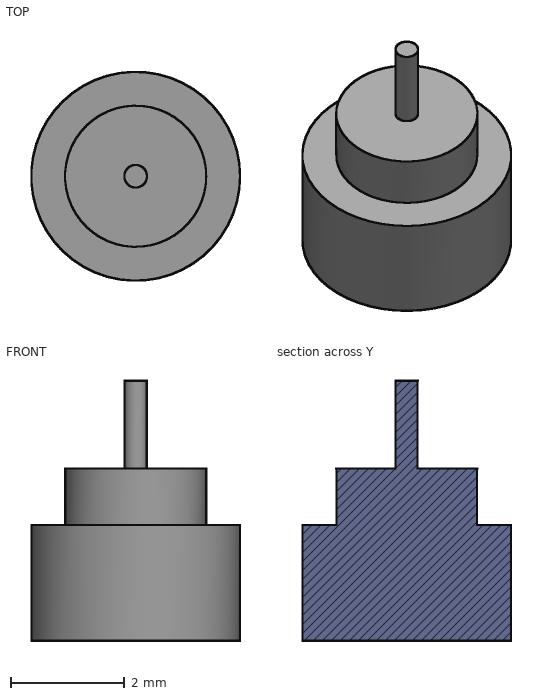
import cadquery as cq

total_height = 4.6
base_diameter = 3.7
base_height = 2.05
collar_diameter = 2.5
collar_height = 1.0
insert_diameter = 1.95
pin_diameter = 0.4

collar_top = base_height + collar_height


def cylinder(diameter, bottom, top):
    """Upright cylinder on the Z axis between two levels."""
    return cq.Workplane("XY").workplane(offset=bottom).circle(diameter / 2).extrude(top - bottom)


base = cylinder(base_diameter, 0, base_height)
collar = cylinder(collar_diameter, base_height, collar_top)
insert = cylinder(insert_diameter, base_height, collar_top)
body = base.union(collar.cut(insert))

pin = cylinder(pin_diameter, collar_top, total_height)

result = body.union(insert, clean=False).union(pin, clean=False)